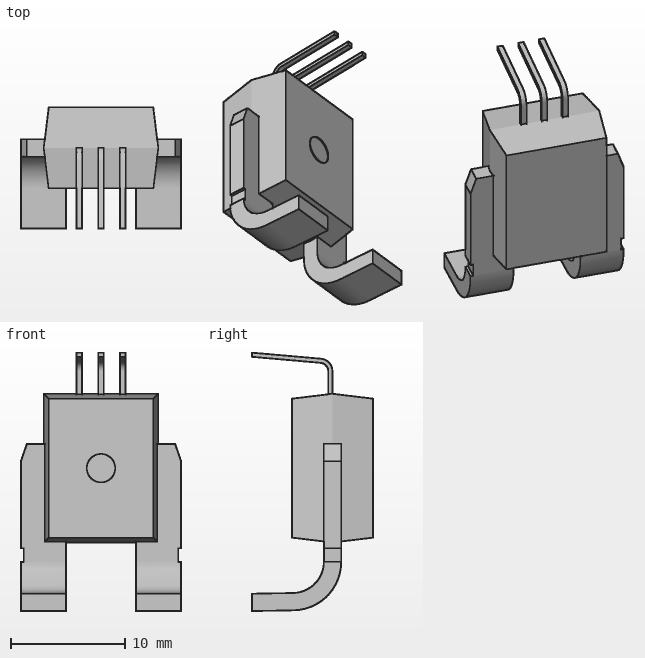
import cadquery as cq
import math

total_height = 22.6
front_y = -7.05

housing_width = 10.0
housing_height = 13.01
housing_bottom = 5.99
half_depth = 3.55
draft_inset = 0.43
housing_mid_z = housing_bottom + housing_height / 2
housing_top = housing_bottom + housing_height
dimple_diameter = 2.48
dimple_depth = 0.1

lead_outer_x = 7.0
lead_inner_x = 3.05
lead_thickness = 1.54
lead_top = 14.62
lead_chamfer_width = 0.52
lead_chamfer_height = 1.51
lead_inner_radius = 2.7
lead_bend_angle = 89.0
notch_depth = 0.25
notch_height = 1.17

pin_count = 3
pin_pitch = 1.9
pin_width = 0.5
pin_thickness = 0.38
pin_inner_radius = 0.72
pin_bend_angle = 85.0
pin_embedment = 1.8


def bent_strip(back_y, start_z, bend_z, direction, thickness, inner_radius, bend_angle):
    """YZ outline of a strip that runs along Z from start_z, then bends towards -Y.

    direction is +1 for a strip running up and -1 for one running down.
    The free end is cut square to Y at front_y.
    """
    outer_radius = inner_radius + thickness
    centre_y = back_y - outer_radius

    def on_arc(radius, angle):
        turn = math.radians(angle)
        return (centre_y + radius * math.cos(turn), bend_z + direction * radius * math.sin(turn))

    def at_free_end(radius):
        y, z = on_arc(radius, bend_angle)
        rise = (y - front_y) / math.tan(math.radians(bend_angle))
        return (front_y, z + direction * rise)

    return (
        cq.Workplane("YZ")
        .moveTo(back_y, start_z)
        .lineTo(*on_arc(outer_radius, 0))
        .threePointArc(on_arc(outer_radius, bend_angle / 2), on_arc(outer_radius, bend_angle))
        .lineTo(*at_free_end(outer_radius))
        .lineTo(*at_free_end(inner_radius))
        .lineTo(*on_arc(inner_radius, bend_angle))
        .threePointArc(on_arc(inner_radius, bend_angle / 2), on_arc(inner_radius, 0))
        .lineTo(back_y - thickness, start_z)
        .close()
    )


def free_end_offset(thickness, inner_radius, bend_angle, back_y):
    """Z distance from the start of a bend to the outer edge of the free end."""
    outer_radius = inner_radius + thickness
    turn = math.radians(bend_angle)
    straight_run = back_y - outer_radius + outer_radius * math.cos(turn) - front_y
    return outer_radius * math.sin(turn) + straight_run / math.tan(turn)


lead_back_y = lead_thickness / 2
lead_bend_z = free_end_offset(lead_thickness, lead_inner_radius, lead_bend_angle, lead_back_y)
pin_bend_z = total_height - free_end_offset(pin_thickness, pin_inner_radius, pin_bend_angle, 0)


def make_right_lead():
    lead = bent_strip(
        lead_back_y, lead_top, lead_bend_z, -1, lead_thickness, lead_inner_radius, lead_bend_angle
    ).extrude(lead_outer_x - lead_inner_x).translate((lead_inner_x, 0, 0))
    top_corner = (
        cq.Workplane("XZ")
        .moveTo(lead_outer_x, lead_top)
        .lineTo(lead_outer_x - lead_chamfer_width, lead_top)
        .lineTo(lead_outer_x, lead_top - lead_chamfer_height)
        .close()
        .extrude(lead_back_y, both=True)
    )
    notch = cq.Workplane("XY").box(
        notch_depth, lead_thickness, notch_height, centered=(False, True, False)
    ).translate((lead_outer_x - notch_depth, 0, lead_bend_z))
    return lead.cut(top_corner).cut(notch)


def make_pin(centre_x):
    outline = bent_strip(
        0, housing_top - pin_embedment, pin_bend_z, 1, pin_thickness, pin_inner_radius, pin_bend_angle
    )
    return outline.extrude(pin_width).translate((centre_x - pin_width / 2, 0, 0))


def make_housing_half(side):
    """Half of the housing on the +Y (side = 1) or -Y (side = -1) of the parting plane."""
    return (
        cq.Workplane("XZ", origin=(0, 0, housing_mid_z))
        .rect(housing_width, housing_height)
        .workplane(offset=-side * half_depth)
        .rect(housing_width - 2 * draft_inset, housing_height - 2 * draft_inset)
        .loft(ruled=True)
    )


def make_housing(inserts):
    """Moulded housing with a front dimple and matching recesses for the inserts."""
    housing = make_housing_half(1).union(make_housing_half(-1))
    dimple = (
        cq.Workplane("XZ", origin=(0, -half_depth, housing_mid_z))
        .circle(dimple_diameter / 2)
        .extrude(-dimple_depth)
    )
    housing = housing.cut(dimple)
    for insert in inserts:
        housing = housing.cut(insert)
    return housing


leads = []
for side in (1, -1):
    lead = make_right_lead()
    if side < 0:
        lead = lead.mirror("YZ")
    leads.append(lead)

pins = []
for index in range(pin_count):
    pins.append(make_pin((index - (pin_count - 1) / 2) * pin_pitch))

housing = make_housing(leads + pins)

result = cq.Compound.makeCompound([body.val() for body in [housing, *leads, *pins]])